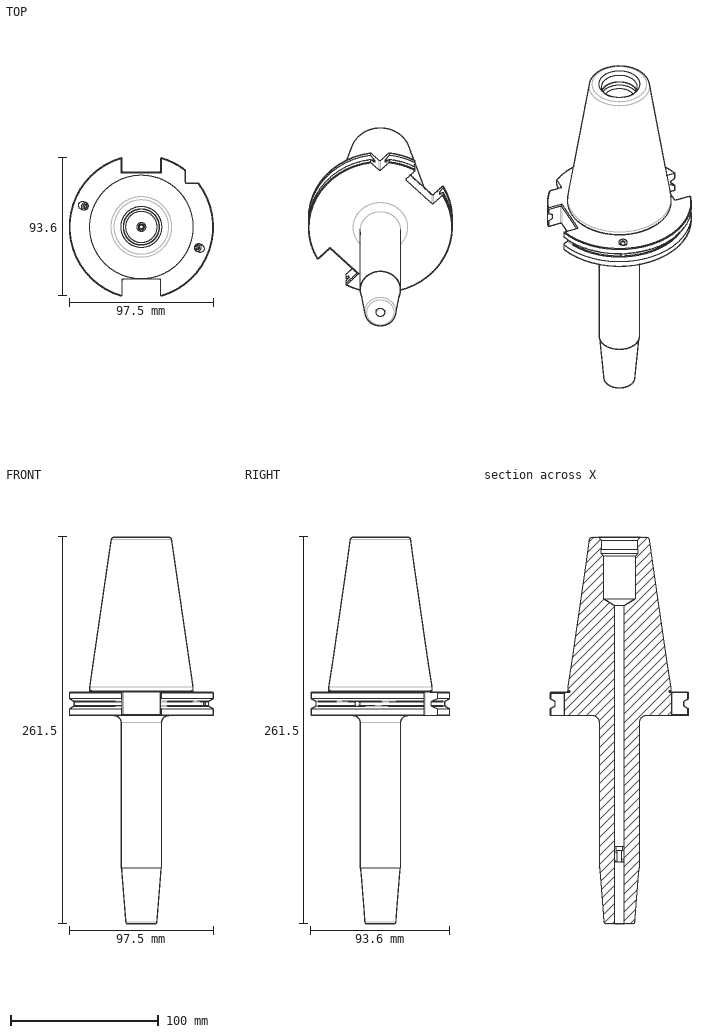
import cadquery as cq
import math

total_height = 261.5
gauge_z = 160.0
flange_top_z = 156.7
flange_bottom_z = 140.7
groove_z = 148.9
nose_height = 37.7

taper_ratio = 7 / 24
gauge_radius = 35.0
taper_top_radius = gauge_radius - (total_height - gauge_z) * taper_ratio / 2
taper_top_fillet = 2.0

relief_height = 0.8
relief_radius = 33.7

flange_radius = 97.5 / 2
flange_chamfer = 0.5
groove_floor_radius = 45.5
groove_floor_width = 3.1
groove_flank_angle = 30.0
groove_root_fillet = 0.8
groove_depth = flange_radius - groove_floor_radius
groove_floor_half = groove_floor_width / 2
groove_flank = math.radians(groove_flank_angle)
groove_mouth_half = groove_floor_half + groove_depth * math.tan(groove_flank)

root_tangent = groove_root_fillet * math.tan((math.pi / 2 - groove_flank) / 2)
root_radius = groove_floor_radius + root_tangent * math.cos(groove_flank)
root_half = groove_floor_half + root_tangent * math.sin(groove_flank)
floor_flat_half = groove_floor_half - root_tangent

slot_width = 26.0
front_slot_y = 35.3
back_slot_y = 37.1
slot_fillet = 0.8
slot_flare = 0.8
slot_bevel = 0.8
slot_bevel_angle = 45
notch_x = 29.8
notch_y = 29.5

shank_radius = 27.5 / 2
shank_fillet = 4.7
nose_top_radius = 27.0 / 2
tip_radius = 10.5
tip_fillet = 1.3

mouth_radius = 13.9
mouth_depth = 2.4
counterbore_radius = 12.0
counterbore_depth = 8.5
undercut_radius = 12.3
undercut_depth = 11.2
pilot_radius = 21.2 / 2
pilot_depth = 41.9
pilot_cone_half_angle = 59.0
tool_bore_radius = 6.0 / 2

stop_screw_z = 41.9
stop_screw_length = 10.5
stop_screw_bore_radius = 1.3
stop_screw_socket_radius = 2.0
stop_screw_socket_depth = 2.5

fitting_angles = [160.0, 340.0]
flange_screw_circle_radius = 41.9
flange_screw_radius = 5.5 / 2
flange_screw_tilt = 35.0
flange_hole_depth = 7.3
flange_screw_recess = 2.0
hex_across_flats = 3.0
hex_depth = 2.0
plug_radius = 1.8
plug_length = 3.1
plug_recess = 0.3
plug_outer_radius = groove_floor_radius - plug_recess
plug_inner_radius = plug_outer_radius - plug_length


def cylinder(radius, bottom_z, height):
    return cq.Workplane("XY").workplane(offset=bottom_z).circle(radius).extrude(height)


def outer_body():
    profile = (
        cq.Workplane("XZ")
        .lineTo(tip_radius, 0)
        .lineTo(nose_top_radius, nose_height)
        .lineTo(shank_radius, nose_height)
        .lineTo(shank_radius, flange_bottom_z - shank_fillet)
        .radiusArc((shank_radius + shank_fillet, flange_bottom_z), shank_fillet)
        .lineTo(flange_radius - flange_chamfer, flange_bottom_z)
        .lineTo(flange_radius, flange_bottom_z + flange_chamfer)
        .lineTo(flange_radius, groove_z - groove_mouth_half)
        .lineTo(root_radius, groove_z - root_half)
        .radiusArc((groove_floor_radius, groove_z - floor_flat_half), groove_root_fillet)
        .lineTo(groove_floor_radius, groove_z + floor_flat_half)
        .radiusArc((root_radius, groove_z + root_half), groove_root_fillet)
        .lineTo(flange_radius, groove_z + groove_mouth_half)
        .lineTo(flange_radius, flange_top_z - flange_chamfer)
        .lineTo(flange_radius - flange_chamfer, flange_top_z)
        .lineTo(relief_radius, flange_top_z)
        .lineTo(relief_radius, flange_top_z + relief_height)
        .lineTo(gauge_radius, flange_top_z + relief_height)
        .lineTo(gauge_radius, gauge_z)
        .lineTo(taper_top_radius, total_height)
        .lineTo(0, total_height)
        .close()
    )
    body = profile.revolve(360, (0, 0, 0), (0, 1, 0))
    body = body.faces(">Z").edges().fillet(taper_top_fillet)
    return body.faces("<Z").edges().fillet(tip_fillet)


def bore():
    cone_height = (pilot_radius - tool_bore_radius) / math.tan(math.radians(pilot_cone_half_angle))
    lead_height = undercut_radius - pilot_radius
    profile = (
        cq.Workplane("XZ")
        .lineTo(tool_bore_radius, 0)
        .lineTo(tool_bore_radius, total_height - pilot_depth - cone_height)
        .lineTo(pilot_radius, total_height - pilot_depth)
        .lineTo(pilot_radius, total_height - undercut_depth - lead_height)
        .lineTo(undercut_radius, total_height - undercut_depth)
        .lineTo(undercut_radius, total_height - counterbore_depth)
        .lineTo(counterbore_radius, total_height - counterbore_depth)
        .lineTo(counterbore_radius, total_height - mouth_depth)
        .lineTo(mouth_radius, total_height)
        .lineTo(0, total_height)
        .close()
    )
    return profile.revolve(360, (0, 0, 0), (0, 1, 0))


def flange_block(x_min, x_max, y_min, y_max):
    return (
        cq.Workplane("XY")
        .workplane(offset=flange_bottom_z)
        .moveTo((x_min + x_max) / 2, (y_min + y_max) / 2)
        .rect(x_max - x_min, y_max - y_min)
        .extrude(flange_top_z - flange_bottom_z)
    )


def drive_slot(floor_y):
    """Slot open towards +Y, with rounded floor corners and a mouth that flares at the flange rim."""
    half = slot_width / 2
    rim_y = math.sqrt(flange_radius**2 - half**2)
    slot = flange_block(-half, half, floor_y, rim_y).edges("|Z and <Y").fillet(slot_fillet)
    flare_start_y = rim_y - slot_flare
    flare_half = half + flange_radius - flare_start_y
    flare = (
        cq.Workplane("XY")
        .workplane(offset=flange_bottom_z)
        .moveTo(-half, flare_start_y)
        .lineTo(half, flare_start_y)
        .lineTo(flare_half, flange_radius)
        .lineTo(-flare_half, flange_radius)
        .close()
        .extrude(flange_top_z - flange_bottom_z)
    )
    return slot.union(flare)


def slot_edge_bevel(floor_y, face_z, inward):
    """Bevel along a slot edge on one flange face; `inward` is the Z sense into the flange."""
    width = slot_width + 2 * slot_bevel
    length = 2 * (flange_radius - floor_y)
    return (
        cq.Workplane("XY")
        .workplane(offset=face_z)
        .center(0, floor_y - slot_bevel + length / 2)
        .rect(width, length)
        .extrude(inward * slot_bevel, taper=slot_bevel_angle)
    )


def flange_cutouts():
    front_slot = drive_slot(front_slot_y).union(slot_edge_bevel(front_slot_y, flange_bottom_z, 1))
    front_slot = front_slot.rotate((0, 0, 0), (0, 0, 1), 180)
    back_slot = drive_slot(back_slot_y).union(slot_edge_bevel(back_slot_y, flange_top_z, -1))
    notch = flange_block(notch_x, flange_radius, notch_y, flange_radius)
    notch = notch.edges("|Z and <X and <Y").fillet(slot_fillet)
    return front_slot.union(back_slot).union(notch)


def tilt_into_flange(body, angle):
    """Move a body from the origin to the flange top face, its lower end leaning towards the holder axis."""
    tilted = body.rotate((0, 0, 0), (0, 1, 0), flange_screw_tilt)
    placed = tilted.translate((flange_screw_circle_radius, 0, flange_top_z))
    return placed.rotate((0, 0, 0), (0, 0, 1), angle)


def flange_hole(angle):
    hole = cylinder(flange_screw_radius, -flange_hole_depth, 2 * flange_hole_depth)
    return tilt_into_flange(hole, angle)


def flange_screw(angle):
    screw = cylinder(flange_screw_radius, -flange_hole_depth, flange_hole_depth - flange_screw_recess)
    hex_diameter = hex_across_flats / math.cos(math.pi / 6)
    screw = screw.faces(">Z").workplane().polygon(6, hex_diameter).cutBlind(-hex_depth)
    return tilt_into_flange(screw, angle)


def radial_cylinder(outer_radius, inner_radius, angle):
    rod = (
        cq.Workplane("YZ")
        .workplane(offset=inner_radius)
        .center(0, groove_z)
        .circle(plug_radius)
        .extrude(outer_radius - inner_radius)
    )
    return rod.rotate((0, 0, 0), (0, 0, 1), angle)


def plug_hole(angle):
    return radial_cylinder(flange_radius, plug_inner_radius, angle)


def groove_plug(angle):
    return radial_cylinder(plug_outer_radius, plug_inner_radius, angle)


def make_holder():
    holder = outer_body().cut(bore()).cut(flange_cutouts())
    for angle in fitting_angles:
        holder = holder.cut(flange_hole(angle)).cut(plug_hole(angle))
    return holder


def make_stop_screw():
    socket_z = stop_screw_z + stop_screw_length - stop_screw_socket_depth
    screw = cylinder(tool_bore_radius, stop_screw_z, stop_screw_length)
    screw = screw.cut(cylinder(stop_screw_bore_radius, stop_screw_z, stop_screw_length))
    return screw.cut(cylinder(stop_screw_socket_radius, socket_z, stop_screw_socket_depth))


holder = make_holder()
stop_screw = make_stop_screw()
flange_screws = [flange_screw(angle) for angle in fitting_angles]
groove_plugs = [groove_plug(angle) for angle in fitting_angles]

result = cq.Compound.makeCompound(
    [
        holder.val(),
        stop_screw.val(),
        *[screw.val() for screw in flange_screws],
        *[plug.val() for plug in groove_plugs],
    ]
)